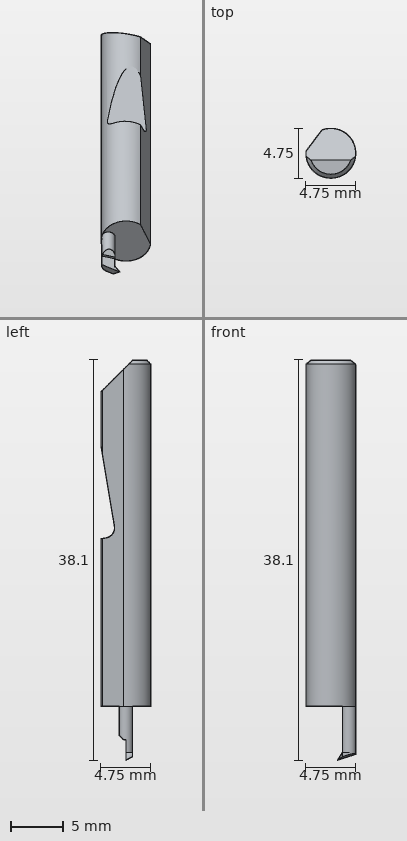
import cadquery as cq
import math

total_length = 38.1
tip_reach = 5.15
shank_length = total_length - tip_reach
shank_radius = 4.75 / 2

top_chamfer = 0.4
bevel_start_y = -0.65
flat_distance = 2.02
flat_angle = 143.0
notch_top_z = shank_length - 8.15
notch_length = 8.85
notch_tilt = math.radians(9.5)
notch_corner_radius = 0.95

neck_radius = 0.65
neck_x = shank_radius - neck_radius
rear_half_length = 3.2
rear_chamfer = 0.45

hook_tip_x = 0.6
hook_root_x = neck_x - neck_radius
hook_top_z = -4.4
edge_end_z = -4.57
clearance_rise = 0.2


def cutting_edge_z(x):
    """Height of the sloping cutting edge, from the hook tip to the +X side of the neck."""
    fraction = (x - hook_tip_x) / (shank_radius - hook_tip_x)
    return -tip_reach + fraction * (edge_end_z + tip_reach)


def make_shank():
    shank = cq.Workplane("XY").circle(shank_radius).extrude(shank_length)
    shank = shank.faces(">Z").chamfer(top_chamfer)
    return shank.cut(side_flat()).cut(top_bevel()).cut(clamping_notch())


def side_flat():
    """Block beyond the flat that runs the full length of the shank."""
    block = cq.Workplane("XY").box(
        shank_radius, 2 * shank_radius, shank_length, centered=(False, True, False)
    )
    return block.translate((flat_distance, 0, 0)).rotate((0, 0, 0), (0, 0, 1), flat_angle)


def across_shank(outline):
    """Extrude a closed YZ outline across the whole shank width."""
    return outline.close().extrude(shank_radius, both=True)


def top_bevel():
    """45 degree wedge that removes the +Y side of the top end."""
    depth = shank_radius - bevel_start_y
    return across_shank(
        cq.Workplane("YZ")
        .moveTo(bevel_start_y, shank_length)
        .lineTo(shank_radius, shank_length)
        .lineTo(shank_radius, shank_length - depth)
    )


def clamping_notch():
    """Notch with a sloping floor and a rounded inner corner square to its end wall."""
    floor_length = notch_length * math.cos(notch_tilt)
    corner_y = shank_radius - floor_length * math.sin(notch_tilt)
    corner_z = notch_top_z - floor_length * math.cos(notch_tilt)
    notch = across_shank(
        cq.Workplane("YZ")
        .moveTo(shank_radius, notch_top_z)
        .lineTo(corner_y, corner_z)
        .lineTo(shank_radius, notch_top_z - notch_length)
    )
    inner_corner = notch.edges("|X").edges("<Y")
    return inner_corner.fillet(notch_corner_radius)


def make_neck():
    neck = cq.Workplane("XY").center(neck_x, 0).circle(neck_radius).extrude(-tip_reach)
    rear_step = (
        cq.Workplane("YZ", origin=(neck_x, 0, 0))
        .moveTo(0, -tip_reach)
        .lineTo(0, -rear_half_length)
        .lineTo(neck_radius - rear_chamfer, -rear_half_length)
        .lineTo(neck_radius, -rear_half_length + rear_chamfer)
        .lineTo(neck_radius, -tip_reach)
        .close()
        .extrude(neck_radius, both=True)
    )
    return neck.cut(rear_step).cut(below_edge())


def below_edge():
    """Space under the clearance face that rises from the cutting edge towards -Y."""
    def section(y, rise):
        corners = [
            (hook_root_x, -tip_reach),
            (shank_radius, -tip_reach),
            (shank_radius, cutting_edge_z(shank_radius) + rise),
            (hook_root_x, cutting_edge_z(hook_root_x) + rise),
        ]
        return cq.Wire.makePolygon([cq.Vector(x, y, z) for x, z in corners], close=True)

    solid = cq.Solid.makeLoft([section(0, 0), section(-neck_radius, clearance_rise)], True)
    return cq.Workplane(obj=solid)


def make_hook():
    """Pointed hook whose left flank and underside fall away behind the cutting face."""
    def section(y, tip_x, rise):
        corners = [
            (tip_x, cutting_edge_z(tip_x) + rise),
            (hook_root_x, hook_top_z),
            (neck_x, hook_top_z),
            (neck_x, cutting_edge_z(neck_x) + rise),
        ]
        return cq.Wire.makePolygon([cq.Vector(x, y, z) for x, z in corners], close=True)

    front = section(0, hook_tip_x, 0)
    back = section(-neck_radius, hook_root_x, clearance_rise)
    return cq.Workplane(obj=cq.Solid.makeLoft([front, back], True))


result = make_shank().union(make_neck()).union(make_hook())
result = result.translate((0, 0, tip_reach - total_length / 2))